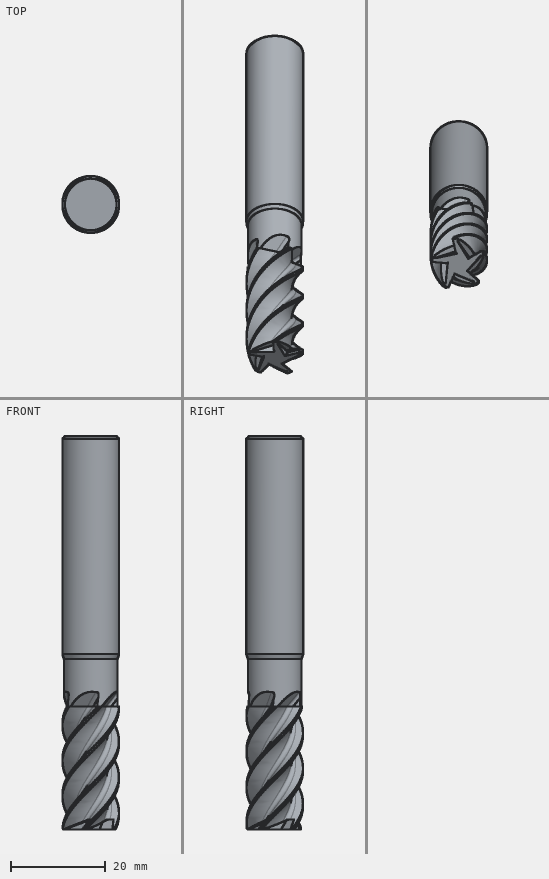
import cadquery as cq
import math

TOTAL_LENGTH = 83.0
SHANK_DIAMETER = 12.0
SHANK_CHAMFER = 0.6
NECK_DIAMETER = 11.4
NECK_TOP = 36.0
NECK_TAPER_LENGTH = 1.0

HEAD_LENGTH = 26.0
HEAD_DIAMETER = 11.95
TOOTH_COUNT = 5
HELIX_ANGLE = 45.0
FIRST_EDGE_ANGLE = 180.0
CORNER_CHAMFER = 0.3

LAND_ANGLE = 7.0
ROOT_RADIUS = 3.7
ROOT_START_ANGLE = 46.0
CORE_RADIUS = 3.65
CORE_ANGLE = 54.0
RAKE_ROOT_RADIUS = 4.4
RAKE_ROOT_ANGLE = 64.0

RUNOUT_HEIGHT = 5.0
RUNOUT_RISE = 0.6

GASH_HEIGHT = 2.15
GASH_LEAN = 1.5
GASH_TOP_WIDTH = 0.7
GASH_WIDTH = 4.6
GASH_EDGE_GAP = 0.1
GASH_INNER_RADIUS = 2.3
END_RELIEF = 0.25

OVERCUT = 0.8

SHANK_RADIUS = SHANK_DIAMETER / 2
NECK_RADIUS = NECK_DIAMETER / 2
HEAD_RADIUS = HEAD_DIAMETER / 2
TOOTH_PITCH = 360.0 / TOOTH_COUNT
HELIX_LEAD = math.pi * HEAD_DIAMETER / math.tan(math.radians(HELIX_ANGLE))
HEAD_TWIST = 360.0 * HEAD_LENGTH / HELIX_LEAD
TIP_EDGE_ANGLES = [FIRST_EDGE_ANGLE + tooth * TOOTH_PITCH for tooth in range(TOOTH_COUNT)]

AXIS_START = (0, 0, 0)
AXIS_END = (0, 0, 1)


def polar(radius, angle):
    """Point in the XY plane at a radius and an angle in degrees."""
    return (radius * math.cos(math.radians(angle)), radius * math.sin(math.radians(angle)))


def revolve_profile(points):
    """Solid of revolution about Z from (radius, height) points."""
    return cq.Workplane("XZ").polyline(points).close().revolve(360, (0, 0, 0), (0, 1, 0))


def add_flute(outline, edge_angle):
    """Continue an outline from the end of a land, down the flute and up to the next edge."""
    return (
        outline.lineTo(*polar(ROOT_RADIUS, edge_angle + ROOT_START_ANGLE))
        .threePointArc(
            polar(CORE_RADIUS, edge_angle + CORE_ANGLE),
            polar(RAKE_ROOT_RADIUS, edge_angle + RAKE_ROOT_ANGLE),
        )
        .lineTo(*polar(HEAD_RADIUS, edge_angle + TOOTH_PITCH))
    )


def head_section():
    """Cross-section of the cutting head at the tip."""
    outline = cq.Workplane("XY").moveTo(*polar(HEAD_RADIUS, FIRST_EDGE_ANGLE))
    for edge_angle in TIP_EDGE_ANGLES:
        outline = outline.threePointArc(
            polar(HEAD_RADIUS, edge_angle + LAND_ANGLE / 2),
            polar(HEAD_RADIUS, edge_angle + LAND_ANGLE),
        )
        outline = add_flute(outline, edge_angle)
    return outline.close()


def make_gash(edge_angle):
    """Radial wedge that clears the end face in front of one cutting edge."""
    outline = [
        (-GASH_EDGE_GAP, -OVERCUT),
        (-GASH_EDGE_GAP, 0),
        (GASH_LEAN, GASH_HEIGHT),
        (GASH_LEAN - GASH_TOP_WIDTH, GASH_HEIGHT),
        (-GASH_WIDTH, END_RELIEF),
        (-GASH_WIDTH, -OVERCUT),
    ]
    gash_length = HEAD_DIAMETER
    section = cq.Workplane("YZ", origin=(GASH_INNER_RADIUS, 0, 0)).polyline(outline).close()
    return section.extrude(gash_length).rotate(AXIS_START, AXIS_END, edge_angle)


def make_corner_ring():
    """Ring of triangular section that chamfers the outer corners of the teeth at the tip."""
    outer = HEAD_RADIUS + OVERCUT
    return revolve_profile(
        [
            (HEAD_RADIUS - CORNER_CHAMFER - OVERCUT, -OVERCUT),
            (outer, -OVERCUT),
            (outer, CORNER_CHAMFER + OVERCUT),
        ]
    )


def make_head():
    """Cutting head: helical teeth, gashed and chamfered at the tip."""
    head = head_section().twistExtrude(HEAD_LENGTH, HEAD_TWIST)
    for edge_angle in TIP_EDGE_ANGLES:
        head = head.cut(make_gash(edge_angle))
    return head.cut(make_corner_ring())


def make_runout(edge_angle):
    """Oblique prism that carries one flute upwards and outwards through the neck surface."""
    outer_radius = HEAD_DIAMETER
    land_end = edge_angle + LAND_ANGLE
    next_edge = edge_angle + TOOTH_PITCH
    outline = cq.Workplane("XY", origin=(0, 0, HEAD_LENGTH)).moveTo(*polar(HEAD_RADIUS, land_end))
    outline = add_flute(outline, edge_angle)
    outline = outline.lineTo(*polar(outer_radius, next_edge)).lineTo(*polar(outer_radius, land_end)).close()

    core_angle = edge_angle + CORE_ANGLE
    along_helix = 2 * math.pi * CORE_RADIUS / HELIX_LEAD
    outward = cq.Vector(*polar(RUNOUT_RISE, core_angle))
    around = cq.Vector(*polar(along_helix, core_angle + 90))
    step = outward + around + cq.Vector(0, 0, 1)
    return cq.Solid.extrudeLinear(outline.val(), [], step * RUNOUT_HEIGHT)


def make_shank():
    """Shank with its neck, and the flute run-outs cut into the neck."""
    shank = revolve_profile(
        [
            (0, HEAD_LENGTH),
            (NECK_RADIUS, HEAD_LENGTH),
            (NECK_RADIUS, NECK_TOP),
            (SHANK_RADIUS, NECK_TOP + NECK_TAPER_LENGTH),
            (SHANK_RADIUS, TOTAL_LENGTH - SHANK_CHAMFER),
            (SHANK_RADIUS - SHANK_CHAMFER, TOTAL_LENGTH),
            (0, TOTAL_LENGTH),
        ]
    )
    for edge_angle in TIP_EDGE_ANGLES:
        shank = shank.cut(make_runout(edge_angle + HEAD_TWIST))
    return shank


shank = make_shank()
head = make_head()
result = cq.Compound.makeCompound([shank.solids().val(), head.solids().val()])